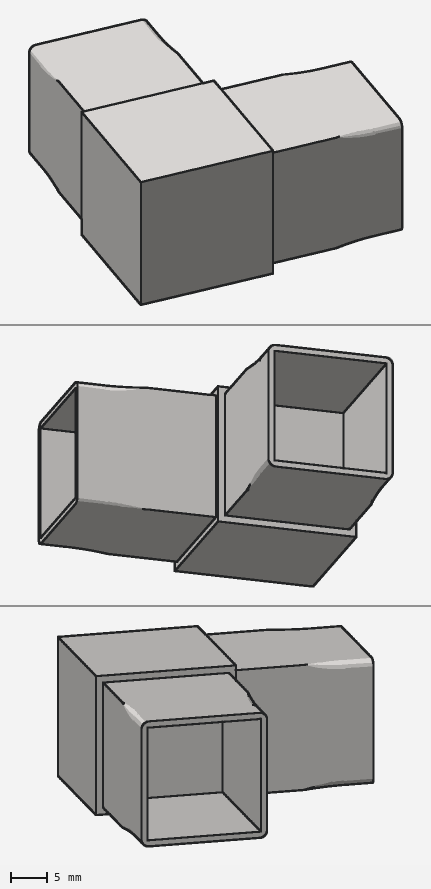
import cadquery as cq
import math

cube_side = 20.0
spigot_length = 20.0
spigot_side = 18.0
bore_side = 16.2

round_radius = 1.1
constant_length = 4.0
round_length = 10.0
fade_steps = 6
tip_radius = 0.01


def radius_at(distance):
    """Edge radius at a distance from the mouth; the fade is parabolic."""
    fade = max(0.0, (distance - constant_length) / (round_length - constant_length))
    return max(tip_radius, round_radius * (1 - fade**2))


def corner_profile(distance):
    """Outline of the material removed from one spigot corner by its round."""
    radius = radius_at(distance)
    corner = spigot_side / 2
    center = corner - radius
    arc_middle = center + radius * math.sqrt(0.5)
    return (
        cq.Workplane("XY", origin=(0, 0, distance))
        .moveTo(corner, corner)
        .lineTo(center, corner)
        .threePointArc((arc_middle, arc_middle), (corner, center))
        .close()
        .val()
    )


def make_corner_cutter():
    """Tool for one edge: a straight stretch followed by the fading stretch."""
    straight = cq.Solid.makeLoft([corner_profile(0), corner_profile(constant_length)], True)
    step = (round_length - constant_length) / fade_steps
    stations = [constant_length + i * step for i in range(fade_steps + 1)]
    fading = cq.Solid.makeLoft([corner_profile(station) for station in stations])
    return straight, fading


def make_spigot():
    """Spigot along +Z with its mouth at Z = 0."""
    spigot = cq.Workplane("XY").rect(spigot_side, spigot_side).extrude(spigot_length)
    bore = cq.Workplane("XY").rect(bore_side, bore_side).extrude(spigot_length)
    spigot = spigot.cut(bore)
    for cutter in make_corner_cutter():
        for angle in (0, 90, 180, 270):
            turned = cutter.rotate(cq.Vector(0, 0, 0), cq.Vector(0, 0, 1), angle)
            spigot = spigot.cut(cq.Workplane(turned))
    return spigot


mouth_distance = cube_side / 2 + spigot_length
cube = cq.Workplane("XY").box(cube_side, cube_side, cube_side)
spigot = make_spigot()
spigot_x = spigot.rotate((0, 0, 0), (0, 1, 0), 90).translate((-mouth_distance, 0, 0))
spigot_y = spigot.rotate((0, 0, 0), (1, 0, 0), 90).translate((0, mouth_distance, 0))

result = cube.union(spigot_x).union(spigot_y)